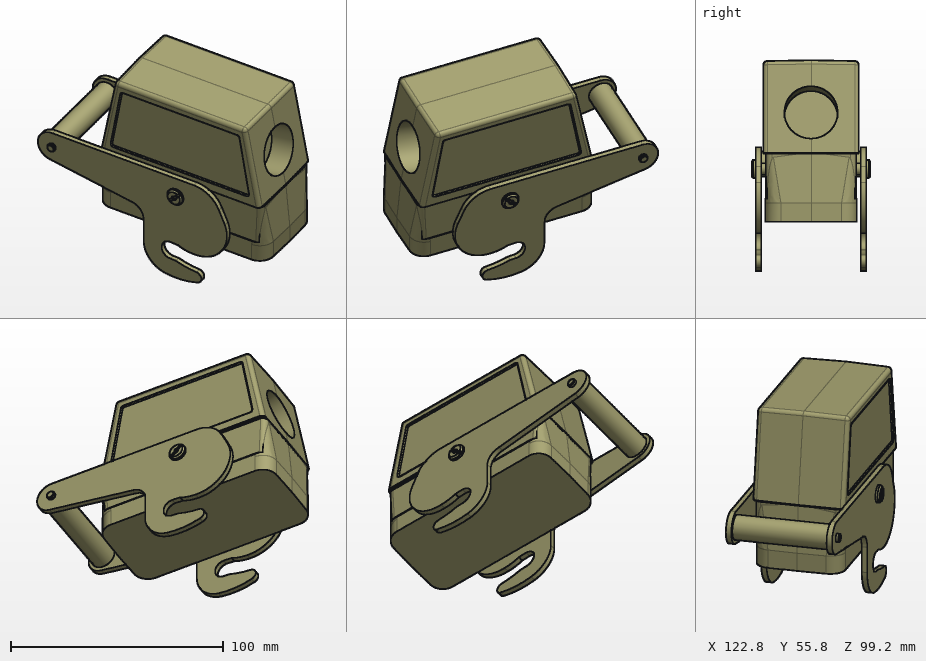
import cadquery as cq
import math

HOOD_LENGTH = 93.3
BASE_WIDTH = 43.2
BASE_CORNER_RADIUS = 7.5
BASE_HEIGHT = 9.1

SKIRT_TOP_RADIUS = 3.7
SKIRT_TRIM_WIDTH = 41.2

COVER_TOP_Z = 76.0
COVER_TOP_LENGTH = 72.4
COVER_BOTTOM_Z = 31.9
COVER_BOTTOM_LENGTH = 89.1
COVER_WIDTH = 45.0
COVER_EDGE_RADIUS = 2.1
COVER_RIM_CHAMFER = 0.5
DRAFT_ANGLE = 1.0

PANEL_WIDTH = 42.5
PANEL_BOTTOM_Z = 10.9
PANEL_BOTTOM_LENGTH = 87.1
PANEL_TOP_LENGTH = 88.8
PANEL_CORNER_RADIUS = 2.7

WINDOW_BOTTOM_Z = 37.0
WINDOW_TOP_Z = 70.8
WINDOW_BOTTOM_LENGTH = 76.8
WINDOW_TOP_LENGTH = 65.3
WINDOW_CORNER_RADIUS = 1.6
WINDOW_DEPTH = 0.7
WINDOW_WALL_SLOPE = 0.6

CABLE_HOLE_DIAMETER = 25.0
CABLE_HOLE_DEPTH = 12.3
CABLE_HOLE_Z = 51.4

PLATE_THICKNESS = 2.7
PLATE_OUTER_Y = 26.0
PLATE_INNER_Y = PLATE_OUTER_Y - PLATE_THICKNESS
PLATE_TOP_Z = 35.1
HOOK_BACK_X = -17.8
GRIP_END_RADIUS = 8.0
GRIP_X = -68.1
GRIP_Z = PLATE_TOP_Z - GRIP_END_RADIUS
ARM_TAPER_ANGLE = 9.0
GRIP_DIAMETER = 12.0
GRIP_PIN_DIAMETER = 4.0
GRIP_PIN_END_Y = 27.6
GRIP_PIN_CHAMFER = 0.4

PIVOT_X = 0.0
PIVOT_Z = 24.8
PIVOT_SHANK_DIAMETER = 5.4
PIVOT_HEAD_DIAMETER = 8.5
PIVOT_OVERALL_WIDTH = 55.8
PIVOT_HEAD_END_Y = PIVOT_OVERALL_WIDTH / 2
PIVOT_HEAD_CHAMFER = 0.9
PIVOT_SLOT_WIDTH = 1.1
PIVOT_SLOT_DEPTH = 0.6
PIVOT_SLOT_ANGLE = 45.0
PIVOT_CENTRE_DIAMETER = 2.2
PIVOT_CENTRE_DEPTH = 1.1

END_WALL_SLOPE = (COVER_BOTTOM_LENGTH - COVER_TOP_LENGTH) / 2 / (COVER_TOP_Z - COVER_BOTTOM_Z)


def cover_half_length(z):
    """Distance from the hood centre to the end wall of the cover at height z."""
    return COVER_TOP_LENGTH / 2 + END_WALL_SLOPE * (COVER_TOP_Z - z)


def both_sides(side):
    """Join a shape on the -Y side with its mirror image on the +Y side."""
    return side.union(side.mirror("XZ"))


def side_trapezoid(y, bottom_z, bottom_length, top_z, top_length):
    """Closed symmetric trapezoid in the plane at the given Y; extrusion runs towards -Y."""
    return cq.Workplane("XZ", origin=(0, y, 0)).polyline([
        (-bottom_length / 2, bottom_z),
        (bottom_length / 2, bottom_z),
        (top_length / 2, top_z),
        (-top_length / 2, top_z),
    ]).close()


def drafted_rectangle(length, width, radius):
    """Rectangle with rounded corners whose ends fall back slightly from the middle line."""
    apex = length / 2
    corner_y = width / 2
    setback = corner_y * math.tan(math.radians(DRAFT_ANGLE)) * math.hypot(1, END_WALL_SLOPE)
    corner_x = apex - setback
    outline = [
        (apex, 0),
        (corner_x, corner_y),
        (-corner_x, corner_y),
        (-apex, 0),
        (-corner_x, -corner_y),
        (corner_x, -corner_y),
        (apex, 0),
    ]
    return cq.Sketch().polygon(outline).vertices("<Y or >Y").fillet(radius)


def rod(x, z, diameter, start_y, end_y):
    """Cylinder along Y on the -Y side, from |Y| = start_y out to |Y| = end_y."""
    plane = cq.Workplane("XZ", origin=(x, -start_y, z))
    return plane.circle(diameter / 2).extrude(end_y - start_y)


def make_skirt():
    """Straight base and tapering skirt, trimmed back where the side panels stand on it."""
    foot = drafted_rectangle(HOOD_LENGTH, BASE_WIDTH, BASE_CORNER_RADIUS)
    head = drafted_rectangle(COVER_BOTTOM_LENGTH, BASE_WIDTH, SKIRT_TOP_RADIUS)
    base = cq.Workplane().placeSketch(foot).extrude(BASE_HEIGHT)
    rise = cq.Vector(0, 0, COVER_BOTTOM_Z - BASE_HEIGHT)
    skirt = (
        cq.Workplane(origin=(0, 0, BASE_HEIGHT))
        .placeSketch(foot, head.moved(cq.Location(rise)))
        .loft()
    )
    trim = (
        cq.Workplane(origin=(0, 0, PANEL_BOTTOM_Z))
        .rect(HOOD_LENGTH, SKIRT_TRIM_WIDTH)
        .rect(2 * HOOD_LENGTH, 2 * BASE_WIDTH)
        .extrude(COVER_BOTTOM_Z)
    )
    return base.union(skirt.cut(trim))


def make_side_panels():
    return (
        side_trapezoid(PANEL_WIDTH / 2, PANEL_BOTTOM_Z, PANEL_BOTTOM_LENGTH, COVER_BOTTOM_Z, PANEL_TOP_LENGTH)
        .extrude(PANEL_WIDTH)
        .edges("not (|X or |Y)")
        .fillet(PANEL_CORNER_RADIUS)
    )


def make_cover():
    """Cover with a ridged roof and end walls, drafted from the middle plane towards both sides."""
    half = side_trapezoid(0, 0, 2 * cover_half_length(0), COVER_TOP_Z, COVER_TOP_LENGTH)
    half = half.extrude(COVER_WIDTH / 2, taper=DRAFT_ANGLE)
    half = half.copyWorkplane(cq.Workplane(origin=(0, 0, COVER_BOTTOM_Z))).split(keepTop=True)
    side_edges = half.faces("<Y").edges("not <Z").vals()
    roof_ends = half.faces(">Z").edges("not |X").vals()
    half = half.newObject(side_edges + roof_ends).fillet(COVER_EDGE_RADIUS)
    half = half.faces("<Y").edges("<Z").chamfer(COVER_RIM_CHAMFER)
    return both_sides(half)


def make_windows():
    """Cutters for the recessed windows; their walls slope inwards to the floor."""
    outline = side_trapezoid(
        -COVER_WIDTH / 2, WINDOW_BOTTOM_Z, WINDOW_BOTTOM_LENGTH, WINDOW_TOP_Z, WINDOW_TOP_LENGTH
    )
    window = outline.extrude(-WINDOW_DEPTH)
    window = window.edges("|Y").fillet(WINDOW_CORNER_RADIUS)
    return both_sides(window.faces(">Y").chamfer(WINDOW_WALL_SLOPE))


def make_cable_hole():
    wall_normal = cq.Vector(1, 0, END_WALL_SLOPE)
    mouth = cq.Vector(cover_half_length(CABLE_HOLE_Z), 0, CABLE_HOLE_Z)
    plane = cq.Plane(origin=mouth.toTuple(), xDir=(0, 1, 0), normal=wall_normal.toTuple())
    return cq.Workplane(plane).circle(CABLE_HOLE_DIAMETER / 2).extrude(-CABLE_HOLE_DEPTH)


def make_hood():
    hood = make_skirt().union(make_side_panels()).union(make_cover())
    return hood.cut(make_windows()).cut(make_cable_hole())


def make_plate():
    """Lever arm, round cam and locking hook cut from one sheet on the -Y side."""
    lean = math.radians(ARM_TAPER_ANGLE)
    arm_end = (
        GRIP_X - GRIP_END_RADIUS * math.sin(lean),
        GRIP_Z - GRIP_END_RADIUS * math.cos(lean),
    )
    outline = (
        cq.Workplane("XZ", origin=(0, -PLATE_INNER_Y, 0))
        .moveTo(GRIP_X, PLATE_TOP_Z)
        .lineTo(9.8, PLATE_TOP_Z)
        .threePointArc((18.5, 32.3), (23.6, 26.0))
        .lineTo(26.9, 18.7)
        .threePointArc((23.3, 0.1), (9.5, -5.4))
        .threePointArc((5.2, -4.9), (1.1, -3.5))
        .lineTo(-3.2, -3.3)
        .threePointArc((-7.9, -8.1), (-3.2, -13.0))
        .lineTo(-0.2, -13.1)
        .threePointArc((5.4, -14.6), (11.3, -15.3))
        .threePointArc((14.0, -18.2), (11.8, -21.4))
        .threePointArc((3.0, -23.1), (-6.1, -22.6))
        .threePointArc((-13.5, -18.7), (HOOK_BACK_X, -8.2))
        .lineTo(HOOK_BACK_X, 4.4)
        .threePointArc((-19.6, 9.5), (-24.7, 12.0))
        .lineTo(*arm_end)
        .threePointArc((GRIP_X - GRIP_END_RADIUS, GRIP_Z), (GRIP_X, PLATE_TOP_Z))
        .close()
    )
    return outline.extrude(PLATE_THICKNESS)


def make_pivot():
    """Slotted screw on the -Y side, whose shank ends on the side panel of the hood."""
    shank = rod(PIVOT_X, PIVOT_Z, PIVOT_SHANK_DIAMETER, PANEL_WIDTH / 2, PLATE_OUTER_Y)
    head = rod(PIVOT_X, PIVOT_Z, PIVOT_HEAD_DIAMETER, PLATE_OUTER_Y, PIVOT_HEAD_END_Y)
    head = head.faces("<Y").chamfer(PIVOT_HEAD_CHAMFER)
    slot = (
        cq.Workplane("XZ", origin=(PIVOT_X, -PIVOT_HEAD_END_Y, PIVOT_Z))
        .transformed(rotate=(0, 0, PIVOT_SLOT_ANGLE))
        .rect(PIVOT_HEAD_DIAMETER, PIVOT_SLOT_WIDTH)
        .extrude(-PIVOT_SLOT_DEPTH)
    )
    centre = rod(
        PIVOT_X, PIVOT_Z, PIVOT_CENTRE_DIAMETER, PIVOT_HEAD_END_Y - PIVOT_CENTRE_DEPTH, PIVOT_HEAD_END_Y
    )
    return shank.union(head.cut(slot).cut(centre))


def make_lever():
    pin = rod(GRIP_X, GRIP_Z, GRIP_PIN_DIAMETER, PLATE_OUTER_Y, GRIP_PIN_END_Y)
    pin = pin.faces("<Y").chamfer(GRIP_PIN_CHAMFER)
    sides = both_sides(make_plate().union(pin).union(make_pivot()))
    grip = rod(GRIP_X, GRIP_Z, GRIP_DIAMETER, -PLATE_INNER_Y, PLATE_INNER_Y)
    return sides.union(grip)


hood = make_hood()
lever = make_lever()
result = cq.Compound.makeCompound([hood.solids().val(), lever.solids().val()])